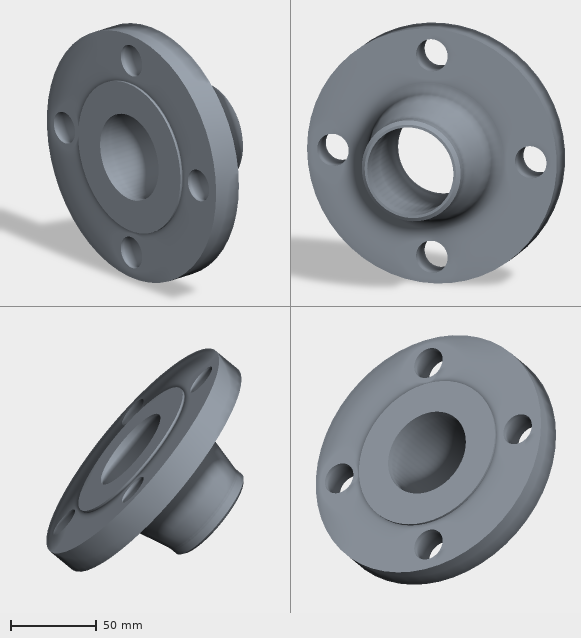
import cadquery as cq

flange_diameter = 152.4
flange_thickness = 17.5
raised_face_diameter = 92.0
raised_face_height = 1.7
overall_length = 63.5
bore_diameter = 52.6

pipe_diameter = 60.4
pipe_end_length = 7.3
hub_diameter = 78.0
fillet_radius = 6.1
bevel_length = 1.8
bevel_depth = 2.3

bolt_circle_diameter = 120.7
bolt_hole_diameter = 19.2
bolt_count = 4

front_y = -overall_length / 2
flange_front_y = front_y + raised_face_height
flange_back_y = flange_front_y + flange_thickness
pipe_end_y = overall_length / 2
taper_end_y = pipe_end_y - pipe_end_length


def make_body():
    """Revolve the half section (radius, y) about the Y axis and round both ends of the taper."""
    bore_radius = bore_diameter / 2
    raised_face_radius = raised_face_diameter / 2
    flange_radius = flange_diameter / 2
    pipe_radius = pipe_diameter / 2
    hub_radius = hub_diameter / 2
    body = (
        cq.Workplane("XY")
        .moveTo(bore_radius, front_y)
        .lineTo(raised_face_radius, front_y)
        .lineTo(raised_face_radius, flange_front_y)
        .lineTo(flange_radius, flange_front_y)
        .lineTo(flange_radius, flange_back_y)
        .lineTo(hub_radius, flange_back_y)
        .lineTo(pipe_radius, taper_end_y)
        .lineTo(pipe_radius, pipe_end_y - bevel_length)
        .lineTo(pipe_radius - bevel_depth, pipe_end_y)
        .lineTo(bore_radius, pipe_end_y)
        .close()
        .revolve(360, (0, 0, 0), (0, 1, 0))
    )
    taper_circles = (
        body.faces("%CONE")
        .faces(cq.selectors.NearestToPointSelector((0, (flange_back_y + taper_end_y) / 2, 0)))
        .edges("%CIRCLE")
    )
    return taper_circles.fillet(fillet_radius)


def make_bolt_holes():
    """Cylinders along Y, evenly spaced on the bolt circle."""
    return (
        cq.Workplane("XZ", origin=(0, front_y, 0))
        .polarArray(bolt_circle_diameter / 2, 0, 360, bolt_count)
        .circle(bolt_hole_diameter / 2)
        .extrude(-overall_length)
    )


result = make_body().cut(make_bolt_holes())